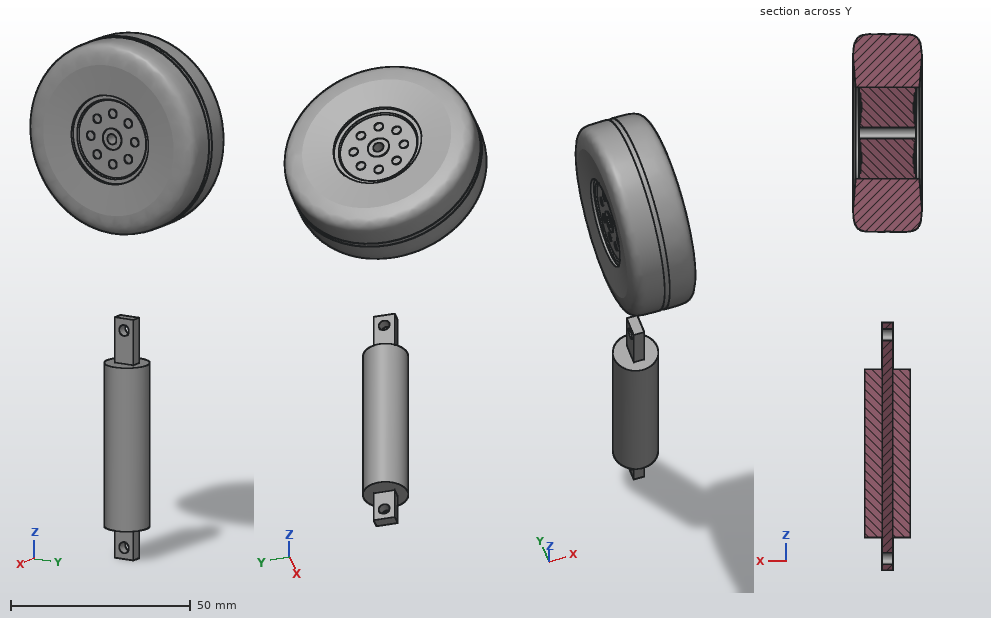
import cadquery as cq

TIRE_DIAMETER = 55.4
TIRE_WIDTH = 19.3
SIDEWALL_DIAMETER = 43.1
SHOULDER_X = 8.7
SHOULDER_RADIUS = 26.2
TREAD_GROOVE_WIDTH = 1.5
TREAD_GROOVE_DEPTH = 0.1
DISH_DEPTH = 0.7

HUB_DIAMETER = 25.5
HUB_SETBACK = 0.9
HUB_RIM_INNER_DIAMETER = 22.9
HUB_WEB_DIAMETER = 22.2
HUB_WEB_DEPTH = 0.5
HUB_BOSS_DIAMETER = 6.1
HUB_BOSS_HEIGHT = 0.3
AXLE_BORE_DIAMETER = 3.0
BOLT_HOLE_DIAMETER = 2.5
BOLT_HOLE_DEPTH = 0.3
BOLT_CIRCLE_DIAMETER = 14.5
BOLT_COUNT = 8

OVERALL_HEIGHT = 149.8
BARREL_DIAMETER = 12.7
BARREL_LENGTH = 47.0
BAR_WIDTH = 6.1
BAR_THICKNESS = 3.1
TOP_LUG_LENGTH = 13.0
BOTTOM_LUG_LENGTH = 9.1
PIN_HOLE_DIAMETER = 3.1
TOP_HOLE_INSET = 3.5
BOTTOM_HOLE_INSET = 3.3

TIRE_RADIUS = TIRE_DIAMETER / 2
HUB_RADIUS = HUB_DIAMETER / 2
HALF_WIDTH = TIRE_WIDTH / 2
HUB_SEAT_X = HALF_WIDTH - DISH_DEPTH
HUB_RIM_X = HUB_SEAT_X - HUB_SETBACK
HUB_WEB_X = HUB_RIM_X - HUB_WEB_DEPTH
HUB_BOSS_X = HUB_WEB_X + HUB_BOSS_HEIGHT

STRUT_BOTTOM = TIRE_RADIUS - OVERALL_HEIGHT
BARREL_BOTTOM = STRUT_BOTTOM + BOTTOM_LUG_LENGTH
BAR_LENGTH = BOTTOM_LUG_LENGTH + BARREL_LENGTH + TOP_LUG_LENGTH
STRUT_TOP = STRUT_BOTTOM + BAR_LENGTH


def revolve_about_axle(profile):
    """Revolve a closed (x, radius) profile about the X axis."""
    return profile.revolve(360, (0, 0, 0), (1, 0, 0))


def make_tire():
    """Tire with rounded shoulders, dished sidewalls and a shallow centre groove."""
    groove_half = TREAD_GROOVE_WIDTH / 2
    groove_radius = TIRE_RADIUS - TREAD_GROOVE_DEPTH
    sidewall_radius = SIDEWALL_DIAMETER / 2
    profile = (
        cq.Workplane("XY")
        .moveTo(-HUB_SEAT_X, HUB_RADIUS)
        .lineTo(-HALF_WIDTH, sidewall_radius)
        .spline(
            [(-SHOULDER_X, SHOULDER_RADIUS), (-groove_half, TIRE_RADIUS)],
            tangents=[(0, 1), (1, 0)],
            includeCurrent=True,
        )
        .lineTo(-groove_half, groove_radius)
        .lineTo(groove_half, groove_radius)
        .lineTo(groove_half, TIRE_RADIUS)
        .spline(
            [(SHOULDER_X, SHOULDER_RADIUS), (HALF_WIDTH, sidewall_radius)],
            tangents=[(1, 0), (0, -1)],
            includeCurrent=True,
        )
        .lineTo(HUB_SEAT_X, HUB_RADIUS)
        .close()
    )
    return revolve_about_axle(profile)


def make_hub():
    """Hub with a raised rim, recessed web and boss on both faces, and blind bolt holes."""
    outer_face = [
        (HUB_RIM_X, HUB_RADIUS),
        (HUB_RIM_X, HUB_RIM_INNER_DIAMETER / 2),
        (HUB_WEB_X, HUB_WEB_DIAMETER / 2),
        (HUB_WEB_X, HUB_BOSS_DIAMETER / 2),
        (HUB_BOSS_X, HUB_BOSS_DIAMETER / 2),
        (HUB_BOSS_X, AXLE_BORE_DIAMETER / 2),
    ]
    opposite_face = [(-x, radius) for x, radius in reversed(outer_face)]
    hub = revolve_about_axle(cq.Workplane("XY").polyline(outer_face + opposite_face).close())
    for side in (-1, 1):
        hub = hub.cut(make_bolt_holes(side))
    return hub


def make_bolt_holes(side):
    """Ring of cylinders that sink the bolt holes into the web on one side (-1 or 1)."""
    holes = cq.Workplane("YZ", origin=(side * HUB_WEB_X, 0, 0))
    holes = holes.polarArray(BOLT_CIRCLE_DIAMETER / 2, 0, 360, BOLT_COUNT)
    return holes.circle(BOLT_HOLE_DIAMETER / 2).extrude(-side * BOLT_HOLE_DEPTH)


def make_bar():
    """Flat bar with a cross hole near each end."""
    bar = cq.Workplane("XY", origin=(0, 0, STRUT_BOTTOM)).rect(BAR_THICKNESS, BAR_WIDTH).extrude(BAR_LENGTH)
    for hole_z in (STRUT_BOTTOM + BOTTOM_HOLE_INSET, STRUT_TOP - TOP_HOLE_INSET):
        hole = cq.Workplane("YZ").center(0, hole_z).circle(PIN_HOLE_DIAMETER / 2)
        bar = bar.cut(hole.extrude(BAR_THICKNESS, both=True))
    return bar


def make_barrel():
    """Round barrel with a rectangular slot through it that fits the bar."""
    return (
        cq.Workplane("XY", origin=(0, 0, BARREL_BOTTOM))
        .circle(BARREL_DIAMETER / 2)
        .rect(BAR_THICKNESS, BAR_WIDTH)
        .extrude(BARREL_LENGTH)
    )


tire = make_tire()
hub = make_hub()
bar = make_bar()
barrel = make_barrel()

result = cq.Compound.makeCompound([tire.val(), hub.val(), bar.val(), barrel.val()])